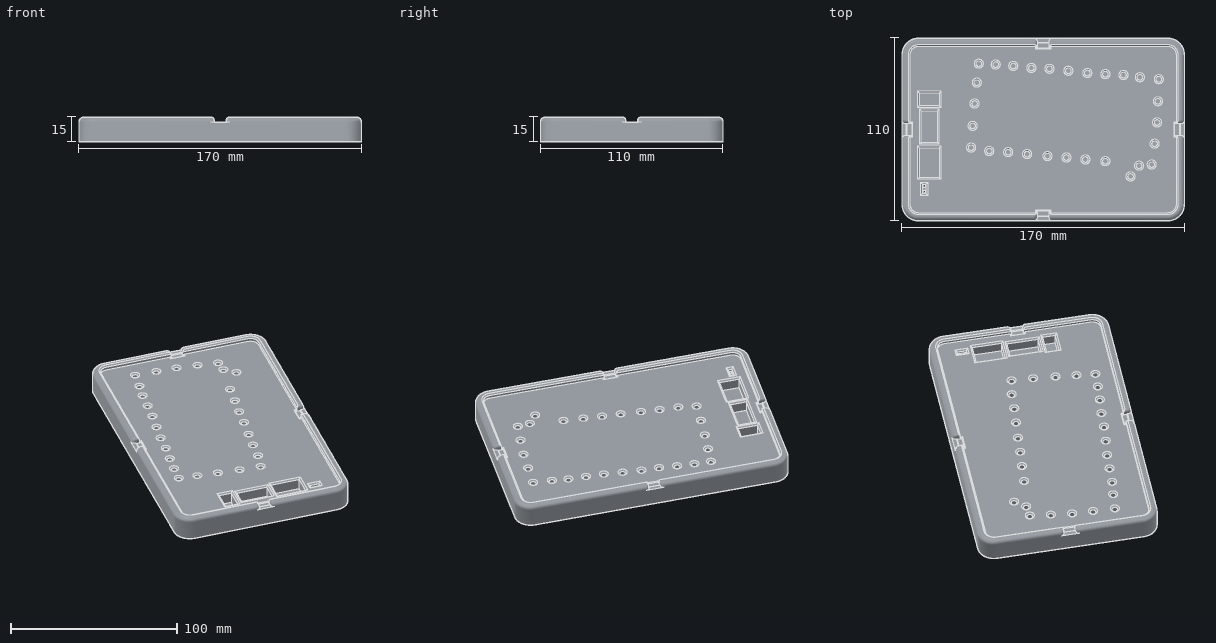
import cadquery as cq
LENGTH = 170.0
WIDTH = 110.0
HEIGHT = 15.0
CORNER_RADIUS = 10.0
TOP_ROUNDING = 2.9

RIM_WIDTH = 5.0
DECK_Z = 11.9

CHAMFER = 1.0

NOTCH_WIDTH = 7.1
NOTCH_SILL_Z = 11.9
NOTCH_SILL_WIDTH = 2.5
NOTCH_PIT_Z = 11.4
NOTCH_REACH = 6.5
NOTCH_ROUNDING = 1.9
NOTCH_GROOVE_LENGTH = 9.2

SELECT_MARGIN = 0.08

POCKETS = [
    (-68.5, 18.2, 12.0, 7.6),
    (-68.5, 1.7, 9.9, 19.0),
    (-68.5, -19.9, 12.0, 17.8),
]
POCKET_DEPTH = 7.8

SOCKET = (-71.5, -35.7, 2.4, 5.8)
SOCKET_DEPTH = 2.5
PIN_HOLE_DIAMETER = 1.6
PIN_HOLE_PITCH = 3.5

HOLE_DIAMETER = 3.4
HOLE_DEPTH = 5.1
HOLE_POINTS = [
    (-38.8, 39.6), (-28.5, 39.1), (-18.0, 38.2), (-7.1, 37.0), (3.7, 36.5), (15.1, 35.4),
    (26.5, 34.0), (37.4, 33.3), (48.3, 32.8), (58.1, 31.5), (69.5, 30.3),
    (69.0, 17.0), (68.5, 4.2), (67.0, -8.5), (65.3, -21.0), (57.6, -21.8), (52.5, -28.2),
    (37.4, -19.0), (25.3, -18.0), (14.0, -16.8), (2.5, -16.0), (-9.7, -14.8), (-21.0, -13.6),
    (-32.5, -13.0), (-43.4, -10.9),
    (-42.5, 2.2), (-41.3, 15.6), (-40.0, 28.2),
]


def flared_cutter(outline, mouth, depth, top_z):
    """Straight cutter plus a 45 degree flare that shrinks from the mouth down to the outline."""
    straight = cq.Workplane("XY", origin=(0, 0, top_z - depth)).placeSketch(outline).extrude(depth)
    flare = cq.Workplane("XY", origin=(0, 0, top_z)).placeSketch(mouth).extrude(-CHAMFER, taper=45)
    return straight.union(flare)


def rectangle(size_x, size_y, corner_radius):
    """Centred rectangle; a zero radius leaves its corners sharp."""
    sketch = cq.Sketch().rect(size_x, size_y)
    if corner_radius > 0:
        sketch = sketch.vertices().fillet(corner_radius)
    return sketch


def rectangular_cutter(size_x, size_y, depth, top_z, corner_radius=0.0):
    mouth_radius = corner_radius + CHAMFER if corner_radius > 0 else 0.0
    return flared_cutter(
        rectangle(size_x, size_y, corner_radius),
        rectangle(size_x + 2 * CHAMFER, size_y + 2 * CHAMFER, mouth_radius),
        depth,
        top_z,
    )


def make_body():
    block = cq.Workplane("XY").rect(LENGTH, WIDTH).extrude(HEIGHT)
    return block.edges("|Z").fillet(CORNER_RADIUS).faces(">Z").edges().fillet(TOP_ROUNDING)


def deck_cutter():
    return rectangular_cutter(
        LENGTH - 2 * RIM_WIDTH,
        WIDTH - 2 * RIM_WIDTH,
        HEIGHT - DECK_Z,
        HEIGHT,
        CORNER_RADIUS - RIM_WIDTH,
    )


def pocket_cutter(pocket, depth):
    x, y, size_x, size_y = pocket
    return rectangular_cutter(size_x, size_y, depth, DECK_Z).translate((x, y, 0))


def track_hole_cutter():
    radius = HOLE_DIAMETER / 2
    return flared_cutter(
        cq.Sketch().circle(radius), cq.Sketch().circle(radius + CHAMFER), HOLE_DEPTH, DECK_Z
    )


def cut_notch(body, half_span):
    """Cut a notch through the +X side of a body whose outer face is at x = half_span."""
    half_width = NOTCH_WIDTH / 2
    inner = half_span - NOTCH_REACH
    sill_inner = half_span - NOTCH_SILL_WIDTH
    pit_end_slope = DECK_Z - NOTCH_PIT_Z
    profile = [
        (half_span, NOTCH_SILL_Z),
        (sill_inner, NOTCH_SILL_Z),
        (sill_inner - (NOTCH_SILL_Z - NOTCH_PIT_Z), NOTCH_PIT_Z),
        (inner + pit_end_slope, NOTCH_PIT_Z),
        (inner, DECK_Z),
        (inner, HEIGHT),
        (half_span, HEIGHT),
    ]
    channel = cq.Workplane("XZ").polyline(profile).close().extrude(half_width, both=True)
    groove_profile = [
        (inner, DECK_Z),
        (inner + pit_end_slope, NOTCH_PIT_Z),
        (inner + 2 * pit_end_slope, DECK_Z),
    ]
    groove = (
        cq.Workplane("XZ").polyline(groove_profile).close().extrude(NOTCH_GROOVE_LENGTH / 2, both=True)
    )
    body = body.cut(channel).cut(groove)
    for y in (-half_width, half_width):
        rim_edges = cq.selectors.BoxSelector(
            (half_span - RIM_WIDTH + CHAMFER, y - SELECT_MARGIN, HEIGHT - TOP_ROUNDING),
            (half_span, y + SELECT_MARGIN, HEIGHT + SELECT_MARGIN),
        )
        body = body.edges(rim_edges).fillet(NOTCH_ROUNDING)
    return body


result = make_body().cut(deck_cutter())
for quarter_turn in range(4):
    half_span = (LENGTH if quarter_turn % 2 == 0 else WIDTH) / 2
    result = cut_notch(result, half_span).rotate((0, 0, 0), (0, 0, 1), 90)

for pocket in POCKETS:
    result = result.cut(pocket_cutter(pocket, POCKET_DEPTH))
result = result.cut(pocket_cutter(SOCKET, SOCKET_DEPTH))
for offset in (-PIN_HOLE_PITCH / 2, PIN_HOLE_PITCH / 2):
    pin_hole = cq.Workplane("XY").circle(PIN_HOLE_DIAMETER / 2).extrude(HEIGHT)
    result = result.cut(pin_hole.translate((SOCKET[0], SOCKET[1] + offset, 0)))

for x, y in HOLE_POINTS:
    result = result.cut(track_hole_cutter().translate((x, y, 0)))